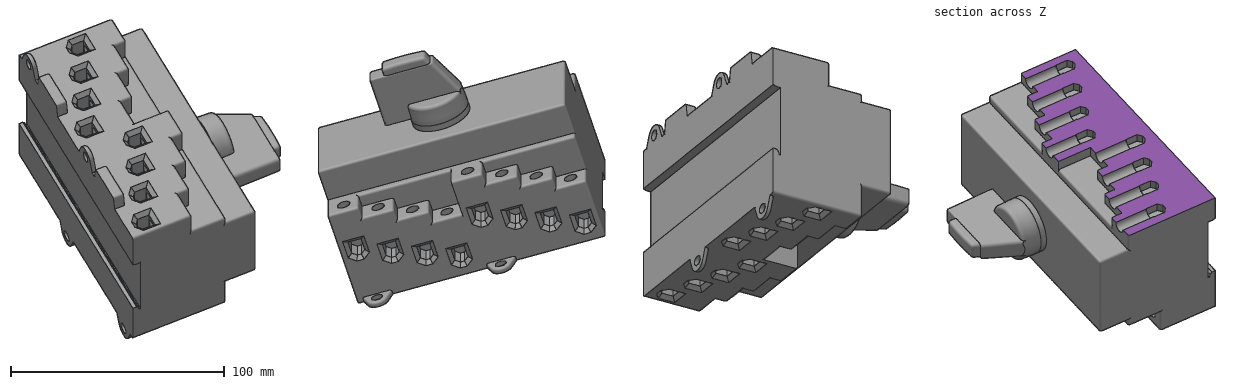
import cadquery as cq
import math

module_width = 60.5
module_starts = [-module_width, 0.0]
width = 2 * module_width
edge_radius = 1.2

tol = 0.01

body_half_height = 38.5
body_depth = 48.3
front_half_height = 22.5
front_depth = 64.0

rail_depth = 4.0
rail_top = 18.0
rail_top_lip = 18.6
rail_bottom = -17.5
hook_top = -15.0
hook_flat = 1.9
hook_shoulder = (2.9, -16.0)
hook_tip_depth = 3.3

recess_floor = 26.4
step_first_x = 15.1
step_pitch_x = 15.4
step_first_y = 42.4
step_pitch_y = 5.9
step_count = 3

terminal_count = 4
terminal_first_x = 7.95
terminal_pitch_x = 15.0
terminal_first_top = 33.3
pocket_half_width = 5.2
pocket_shoulder = 9.0
pocket_length = 11.8
pocket_tip_half_width = 1.7
pocket_inset = 2.0
pocket_mouth_depth = 2.0
pocket_depth = 11.0

screw_hole_radius = 3.0
screw_hole_height = 31.5

lug_offset = 10.1
lug_thickness = 2.4
lug_half_base = 7.15
lug_hole_height = 42.3
lug_top = 47.49
lug_radius = lug_top - lug_hole_height
lug_edge_radius = 1.2
slot_length = 5.3
slot_width = 4.5

tab_center = 30.3
tab_half_base = 10.7
tab_half_top = 9.5
tab_top = 45.5
tab_thickness = 5.5
tab_edge_radius = 1.0

seat_radius = 14.0
seat_end = 67.0
hub_straight_end = 69.0
hub_top = 76.6
hub_top_radius = 13.7
hub_edge_radius = 1.7

handle_top = 93.9
handle_end_x = 26.0
handle_slope_foot_x = -17.0
handle_slope_top_x = -5.0
handle_half_base = 5.05
handle_half_top = 4.55
handle_corner_radius = 1.8
handle_top_radius = 0.8

cap_base = handle_top - handle_top_radius
cap_crown = 98.08
cap_side = 97.6
cap_left_base = -4.0
cap_left_top = -2.1
cap_right = 19.0
cap_half_width = 4.2
cap_edge_radius = 1.6


def half_turn(shape):
    """Turn a shape by 180 degrees about the Y axis (top side to bottom side)."""
    return shape.rotate((0, 0, 0), (0, 1, 0), 180)


def extrude_z(points, bottom, top):
    """Extrude an XY outline from one height to another."""
    return cq.Workplane("XY").workplane(offset=bottom).polyline(points).close().extrude(top - bottom)


def extrude_x(points, start, end):
    """Extrude a YZ outline along X."""
    return cq.Workplane("YZ").workplane(offset=start).polyline(points).close().extrude(end - start)


def housing_block():
    profile = [
        (0, -body_half_height),
        (body_depth, -body_half_height),
        (body_depth, -front_half_height),
        (front_depth, -front_half_height),
        (front_depth, front_half_height),
        (body_depth, front_half_height),
        (body_depth, body_half_height),
        (0, body_half_height),
    ]
    return extrude_x(profile, -width / 2, width / 2)


def stair_recess(start_x):
    """Stepped recess of one module, open to the front and to the top."""
    points = [(start_x + module_width, body_depth), (start_x + step_first_x, body_depth)]
    for step in range(step_count):
        y = step_first_y - step * step_pitch_y
        next_x = step_first_x + (step + 1) * step_pitch_x
        if step == step_count - 1:
            next_x = module_width
        points.append((start_x + step_first_x + step * step_pitch_x, y))
        points.append((start_x + next_x, y))
    return extrude_z(points, recess_floor, body_half_height)


def on_stair_nose(point):
    """True on the upright outer corners of the staircases, on the top or on the bottom."""
    x = math.copysign(1, point.z) * point.x
    for start in module_starts:
        for step in range(step_count):
            nose_x = start + step_first_x + step * step_pitch_x
            nose_y = body_depth if step == 0 else step_first_y - (step - 1) * step_pitch_y
            if math.hypot(x - nose_x, point.y - nose_y) < tol:
                return True
    return False


def is_rounded(edge):
    """Outer edges are rounded, except at the rear, at inner corners and on the middle walls."""
    box = edge.BoundingBox()
    at_rear = box.ymax < tol
    middle = edge.Center()
    upright = box.zlen > tol
    x_face = abs(abs(middle.x) - width / 2) < tol
    at_front = abs(middle.y - front_depth) < tol
    at_shelf = abs(middle.y - body_depth) < tol
    at_middle = abs(middle.x) < tol and box.xlen < tol
    inner_corner = at_shelf and abs(abs(middle.z) - front_half_height) < tol
    floor_corner = abs(abs(middle.z) - recess_floor) < tol and not x_face and not at_shelf
    inner_upright = upright and not x_face and not at_front and not on_stair_nose(middle)
    return not (at_rear or at_middle or inner_corner or floor_corner or inner_upright)


def rail_channel():
    profile = [
        (0, rail_top_lip),
        (hook_flat, rail_top),
        (rail_depth, rail_top),
        (rail_depth, rail_bottom),
        (hook_tip_depth, rail_bottom),
        hook_shoulder,
        (hook_flat, hook_top),
        (0, hook_top),
    ]
    return extrude_x(profile, -width / 2, width / 2)


def terminal_pocket(center_x, top_y):
    points = [
        (center_x - pocket_half_width, top_y),
        (center_x + pocket_half_width, top_y),
        (center_x + pocket_half_width, top_y - pocket_shoulder),
        (center_x + pocket_tip_half_width, top_y - pocket_length),
        (center_x - pocket_tip_half_width, top_y - pocket_length),
        (center_x - pocket_half_width, top_y - pocket_shoulder),
    ]
    flare_angle = math.degrees(math.atan2(pocket_inset, pocket_mouth_depth))
    outline = cq.Workplane("XY").workplane(offset=body_half_height).polyline(points).close()
    mouth = outline.extrude(-pocket_mouth_depth, taper=flare_angle)
    well = mouth.faces("<Z").wires().toPending().extrude(pocket_mouth_depth - pocket_depth, combine=False)
    return mouth.union(well)


def screw_hole(center_x, pocket_top_y):
    """Round hole from the wall of the pocket forward through the stair wall."""
    start_y = pocket_top_y - pocket_inset
    return (
        cq.Workplane("XZ", origin=(center_x, start_y, screw_hole_height))
        .circle(screw_hole_radius)
        .extrude(start_y - body_depth)
    )


def lug(center_x):
    """Round-ended ear whose sides run tangent from its base to the rounding."""
    rise = lug_hole_height - body_half_height
    reach = math.hypot(lug_half_base, rise)
    side_angle = math.atan2(rise, lug_half_base) + math.asin(lug_radius / reach)
    tangent_x = lug_radius * math.sin(side_angle)
    tangent_z = lug_hole_height + lug_radius * math.cos(side_angle)
    ear = (
        cq.Workplane("XZ", origin=(center_x, 0, 0))
        .moveTo(-lug_half_base, body_half_height)
        .lineTo(-tangent_x, tangent_z)
        .threePointArc((0, lug_top), (tangent_x, tangent_z))
        .lineTo(lug_half_base, body_half_height)
        .lineTo(lug_half_base, body_half_height - lug_thickness)
        .lineTo(-lug_half_base, body_half_height - lug_thickness)
        .close()
        .extrude(-lug_thickness)
    )
    outline = cq.selectors.BoxSelector(
        (center_x - lug_half_base, lug_thickness - tol, body_half_height),
        (center_x + lug_half_base, lug_thickness + tol, lug_top),
    )
    return ear.edges(outline).fillet(lug_edge_radius)


def lug_slot(center_x, center_z, angle):
    return (
        cq.Workplane("XZ", origin=(center_x, 0, center_z))
        .slot2D(slot_length, slot_width, angle)
        .extrude(-lug_thickness)
    )


def latch_tab(center_x):
    outline = [
        (center_x - tab_half_base, body_half_height),
        (center_x - tab_half_top, tab_top),
        (center_x + tab_half_top, tab_top),
        (center_x + tab_half_base, body_half_height),
    ]
    tab = cq.Workplane("XZ").polyline(outline).close().extrude(-tab_thickness)
    tab = tab.edges(">Z and |Y").fillet(tab_edge_radius)
    return tab.faces(">Y").edges("not <Z").fillet(tab_edge_radius)


def knob_seat():
    plane = cq.Workplane("XZ", origin=(0, front_depth, 0))
    return plane.circle(seat_radius).extrude(front_depth - seat_end)


def make_housing():
    housing = housing_block()
    for start in module_starts:
        recess = stair_recess(start)
        housing = housing.cut(recess).cut(half_turn(recess))
    rounded = [edge for edge in housing.edges().vals() if is_rounded(edge)]
    housing = housing.newObject(rounded).fillet(edge_radius)
    housing = housing.cut(rail_channel())

    for start in module_starts:
        for index in range(terminal_count):
            center_x = start + terminal_first_x + index * terminal_pitch_x
            top_y = terminal_first_top - index * step_pitch_y
            terminal = terminal_pocket(center_x, top_y).union(screw_hole(center_x, top_y))
            housing = housing.cut(terminal).cut(half_turn(terminal))

        lug_x = start + lug_offset
        ear = lug(lug_x)
        housing = housing.union(ear).union(half_turn(ear))
        housing = housing.cut(lug_slot(lug_x, lug_hole_height, 90))
        housing = housing.cut(lug_slot(-lug_x, -lug_hole_height, 0))
        housing = housing.union(latch_tab(start + tab_center))
    return housing.union(knob_seat())


def sharp_hub():
    """Slightly conical hub before its rim is rounded."""
    half_profile = [
        (0, seat_end),
        (seat_radius, seat_end),
        (seat_radius, hub_straight_end),
        (hub_top_radius, hub_top),
        (0, hub_top),
    ]
    return cq.Workplane("XY").polyline(half_profile).close().revolve(360, (0, 0, 0), (0, 1, 0))


def knob_hub():
    return sharp_hub().faces(">Y").edges().fillet(hub_edge_radius)


def handle_limit():
    """Space the handle may fill: above the hub, beside it at the +X end, and within the hub."""
    outline = [
        (0, hub_straight_end),
        (0, hub_top),
        (handle_slope_foot_x, hub_top),
        (handle_slope_foot_x, handle_top),
        (handle_end_x, handle_top),
        (handle_end_x, hub_straight_end),
    ]
    return extrude_z(outline, -handle_half_base, handle_half_base).union(sharp_hub())


def knob_handle():
    """Pointer blade: a sloped side outline, thinner towards its top."""
    outline = [
        (handle_slope_foot_x, hub_straight_end),
        (handle_slope_top_x, handle_top),
        (handle_end_x, handle_top),
        (handle_end_x, hub_straight_end),
    ]
    section = [
        (hub_straight_end, -handle_half_base),
        (handle_top, -handle_half_top),
        (handle_top, handle_half_top),
        (hub_straight_end, handle_half_base),
    ]
    blade = extrude_z(outline, -handle_half_base, handle_half_base)
    blade = blade.intersect(extrude_x(section, handle_slope_foot_x, handle_end_x))
    upright_edges = []
    for edge in blade.edges().vals():
        box = edge.BoundingBox()
        at_end = box.xmin > handle_end_x - tol
        on_slope = box.xlen > tol and box.ylen > tol
        if (at_end or on_slope) and box.ylen > tol:
            upright_edges.append(edge)
    blade = blade.newObject(upright_edges).fillet(handle_corner_radius)
    blade = blade.faces(">Y").edges().fillet(handle_top_radius)
    return blade.intersect(handle_limit())


def knob_cap():
    cap_middle = (cap_left_top + cap_right) / 2
    cap = (
        cq.Workplane("XY", origin=(0, 0, -cap_half_width))
        .moveTo(cap_left_base, cap_base)
        .lineTo(cap_left_top, cap_side)
        .threePointArc((cap_middle, cap_crown), (cap_right, cap_side))
        .lineTo(cap_right, cap_base)
        .close()
        .extrude(2 * cap_half_width)
    )
    return cap.edges("not <Y").fillet(cap_edge_radius)


def make_knob():
    return knob_hub().union(knob_handle()).union(knob_cap())


housing = make_housing()
knob = make_knob()
result = cq.Compound.makeCompound([housing.val(), knob.val()])